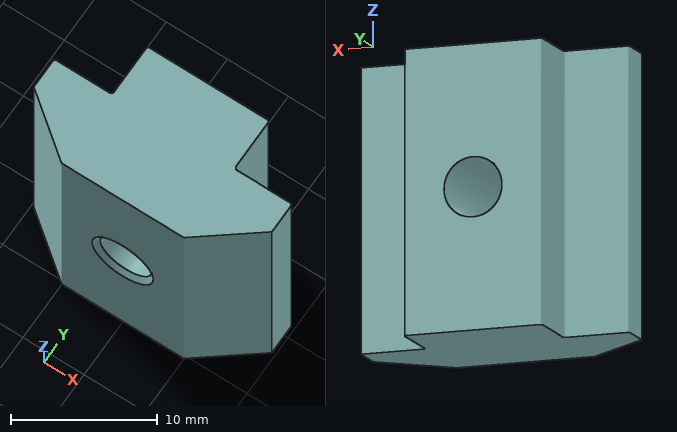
import cadquery as cq

width = 19.5
depth = 10.5
height = 20.0

stem_width = 10.0
stem_depth = 4.3
side_depth = 2.5
nose_width = 10.0
edge_radius = 0.2

hole_diameter = 4.2
countersink_diameter = 5.0
countersink_depth = (countersink_diameter - hole_diameter) / 2

nose_y = -depth / 2
back_y = depth / 2
shoulder_y = back_y - stem_depth
taper_y = shoulder_y - side_depth


def make_body():
    """Extrude the symmetric T profile and round its vertical edges, leaving the taper corners sharp."""
    right_half = [
        (nose_width / 2, nose_y),
        (width / 2, taper_y),
        (width / 2, shoulder_y),
        (stem_width / 2, shoulder_y),
        (stem_width / 2, back_y),
    ]
    left_half = [(-x, y) for x, y in reversed(right_half)]
    body = cq.Workplane("XY").polyline(right_half + left_half).close().extrude(height)
    taper_corners = cq.selectors.BoxSelector(
        (-width, taper_y - edge_radius, 0), (width, taper_y + edge_radius, height)
    )
    return body.edges(cq.selectors.StringSyntaxSelector("|Z") - taper_corners).fillet(edge_radius)


def make_hole():
    """Through hole with a conical countersink on the nose face."""
    outline = [
        (0, nose_y),
        (countersink_diameter / 2, nose_y),
        (hole_diameter / 2, nose_y + countersink_depth),
        (hole_diameter / 2, back_y),
        (0, back_y),
    ]
    hole = cq.Workplane("XY").polyline(outline).close().revolve(360, (0, 0), (0, 1))
    return hole.translate((0, 0, height / 2))


result = make_body().cut(make_hole())